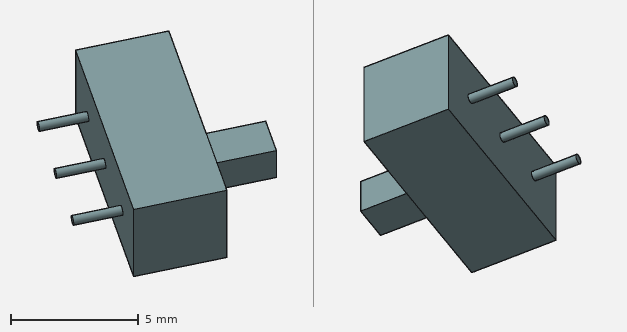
import cadquery as cq


body_length = 8.63
body_depth = 3.8
body_height = 4.0

slider_side = 1.6
slider_reach = 2.7
slider_end_gap = 2.5
slider_offset = body_length / 2 - slider_end_gap - slider_side / 2

pin_count = 3
pin_pitch = 2.54
pin_diameter = 0.4
pin_length = 2.0


def make_body():
    return cq.Workplane("XY").box(body_length, body_depth, body_height)


def make_slider():
    centre_y = (body_depth + slider_reach) / 2
    slider = cq.Workplane("XY").box(slider_side, slider_reach, slider_side)
    return slider.translate((slider_offset, centre_y, 0))


def make_pin(x):
    front_face = cq.Workplane("XZ", origin=(x, -body_depth / 2, 0))
    return front_face.circle(pin_diameter / 2).extrude(pin_length)


result = make_body().union(make_slider())
for index in range(pin_count):
    pin_x = (index - (pin_count - 1) / 2) * pin_pitch
    result = result.union(make_pin(pin_x))